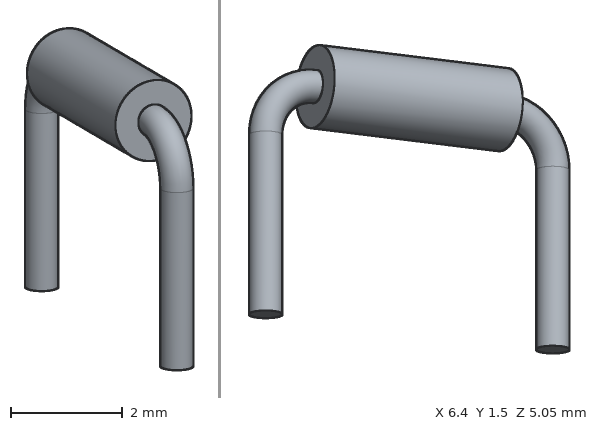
import cadquery as cq

body_diameter = 1.5
body_length = 3.8
lead_diameter = 0.6
bend_radius = 1.0
leg_length = 3.3

body_axis_height = leg_length + bend_radius
body_end = body_length / 2


def make_body():
    """Cylinder centred on the Z axis, lying along X."""
    return (
        cq.Workplane("YZ", origin=(-body_end, 0, body_axis_height))
        .circle(body_diameter / 2)
        .extrude(body_length)
    )


def make_lead(side):
    """Bent lead on the -X (side = -1) or +X (side = 1) end of the body."""
    leg_x = side * (body_end + bend_radius)
    leg = cq.Workplane("XY", origin=(leg_x, 0, 0)).circle(lead_diameter / 2).extrude(leg_length)
    bend = (
        cq.Workplane("XY", origin=(leg_x, 0, leg_length))
        .circle(lead_diameter / 2)
        .revolve(90, (-side * bend_radius, 0, 0), (-side * bend_radius, -side, 0))
    )
    return leg.union(bend)


result = make_body()
for end_side in (-1, 1):
    result = result.union(make_lead(end_side))